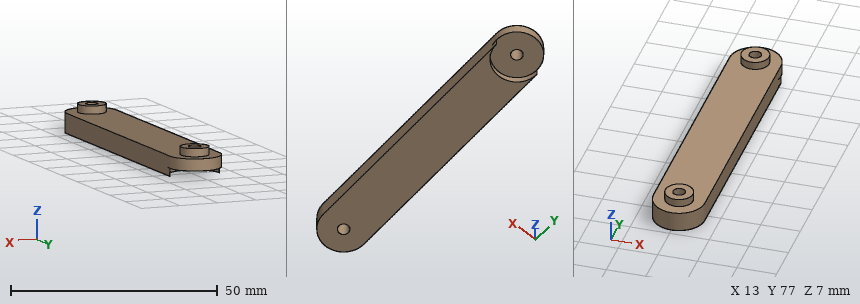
import cadquery as cq

length = 77.0
width = 13.0
bar_thickness = 5.0
boss_height = 2.0
boss_diameter = 7.0
hole_diameter = 3.0
tongue_thickness = 3.0

end_radius = width / 2
pivot_y = length / 2 - end_radius
total_height = bar_thickness + boss_height
pivots = [(0, -pivot_y), (0, pivot_y)]


def make_bar():
    """Bar with a full round at each end, resting on Z = 0."""
    return cq.Workplane("XY").slot2D(length, width, 90).extrude(bar_thickness)


def make_bosses():
    """Round boss standing on the bar at each pivot."""
    return (
        cq.Workplane("XY")
        .workplane(offset=bar_thickness)
        .pushPoints(pivots)
        .circle(boss_diameter / 2)
        .extrude(boss_height)
    )


def make_end_relief():
    """Disc under the +Y pivot: a round seat with a thinner tongue above it."""
    relief_height = bar_thickness - tongue_thickness
    return (
        cq.Workplane("XY")
        .center(0, pivot_y)
        .circle(end_radius)
        .extrude(relief_height)
    )


def make_pivot_holes():
    """Through holes on the boss axes."""
    return cq.Workplane("XY").pushPoints(pivots).circle(hole_diameter / 2).extrude(total_height)


result = make_bar().cut(make_end_relief()).union(make_bosses()).cut(make_pivot_holes())